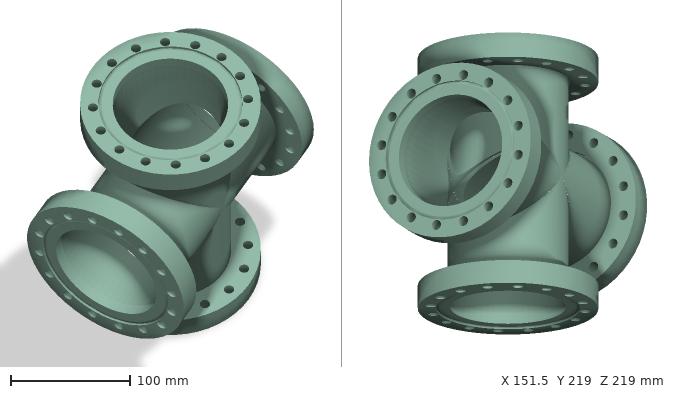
import cadquery as cq
import math


face_height = 109.5
flange_diameter = 151.5
fixed_thickness = 20.0
rotatable_thickness = 21.2

tube_outer_diameter = 101.6
tube_inner_diameter = 97.5
tube_end_depth = 11.2

bore_diameter = 96.8
socket_diameter = 101.9
knife_diameter = 115.2
gasket_recess_diameter = 120.5
knife_depth = 1.2
knife_angle = 20.0
knife_flank_width = (gasket_recess_diameter - knife_diameter) / 2
recess_depth = knife_depth + knife_flank_width * math.tan(math.radians(knife_angle))

ring_bore_diameter = 120.7
ring_back_diameter = 104.7
insert_back_depth = 15.3

bolt_count = 16
bolt_circle_diameter = 130.3
bolt_hole_diameter = 8.5
bolt_step = 360 / bolt_count

turn_to_plus_z = 0
turn_to_minus_y = 90
turn_to_minus_z = 180
turn_to_plus_y = 270

tube_turns = [turn_to_plus_z, turn_to_minus_y, turn_to_minus_z, turn_to_plus_y]
rotatable_turns = [turn_to_plus_z, turn_to_minus_y]
fixed_turns = [turn_to_minus_z, turn_to_plus_y]


def disc(diameter, top_depth, bottom_depth):
    """Solid disc on the Z axis between two depths below the sealing face."""
    start = face_height - bottom_depth
    thickness = bottom_depth - top_depth
    return cq.Workplane("XY").workplane(offset=start).circle(diameter / 2).extrude(thickness)


def bolt_holes(thickness):
    """Through-hole cutters on the bolt circle, straddling the X and Y axes."""
    return (
        cq.Workplane("XY")
        .workplane(offset=face_height - thickness)
        .polarArray(bolt_circle_diameter / 2, bolt_step / 2, 360, bolt_count)
        .circle(bolt_hole_diameter / 2)
        .extrude(thickness)
    )


def sealing_body(outer_diameter, top_depth, bottom_depth):
    """Disc with gasket recess, knife edge, bore and tube socket."""
    knife_height = face_height - knife_depth
    gasket_recess = (
        cq.Workplane("XZ")
        .moveTo(0, face_height)
        .lineTo(gasket_recess_diameter / 2, face_height)
        .lineTo(gasket_recess_diameter / 2, face_height - recess_depth)
        .lineTo(knife_diameter / 2, knife_height)
        .lineTo(0, knife_height)
        .close()
        .revolve(360, (0, 0, 0), (0, 1, 0))
    )
    bore = disc(bore_diameter, 0, bottom_depth)
    socket = disc(socket_diameter, tube_end_depth, bottom_depth)
    return disc(outer_diameter, top_depth, bottom_depth).cut(gasket_recess).cut(bore).cut(socket)


def fixed_flange():
    """One-piece bolted flange."""
    flange = sealing_body(flange_diameter, 0, fixed_thickness)
    return flange.cut(bolt_holes(fixed_thickness))


def rotatable_insert():
    """Knife-edge insert held inside the rotatable ring."""
    return sealing_body(gasket_recess_diameter, knife_depth, insert_back_depth)


def rotatable_ring():
    """Bolted ring with a shoulder behind the insert."""
    insert_seat = disc(ring_bore_diameter, 0, insert_back_depth)
    tube_clearance = disc(ring_back_diameter, 0, rotatable_thickness)
    ring = disc(flange_diameter, 0, rotatable_thickness).cut(insert_seat).cut(tube_clearance)
    return ring.cut(bolt_holes(rotatable_thickness))


def coped_tube():
    """Tube from the centre to the socket, its inner end coped to fit the outside of the crossing tube."""
    tube_length = face_height - tube_end_depth
    outer_radius = tube_outer_diameter / 2
    inner_radius = tube_inner_diameter / 2
    tube = cq.Workplane("XY").circle(outer_radius).circle(inner_radius).extrude(tube_length)
    crossing_cylinder = cq.Workplane("XZ").circle(outer_radius).extrude(face_height, both=True)
    return tube.cut(crossing_cylinder)


def placed_copies(body, turns):
    """Separate solids of one body, turned about the X axis."""
    return [body.rotate((0, 0, 0), (1, 0, 0), turn).val() for turn in turns]


tubes = placed_copies(coped_tube(), tube_turns)
fixed_flanges = placed_copies(fixed_flange(), fixed_turns)
inserts = placed_copies(rotatable_insert(), rotatable_turns)
rings = placed_copies(rotatable_ring(), rotatable_turns)

result = cq.Compound.makeCompound([*tubes, *fixed_flanges, *inserts, *rings])